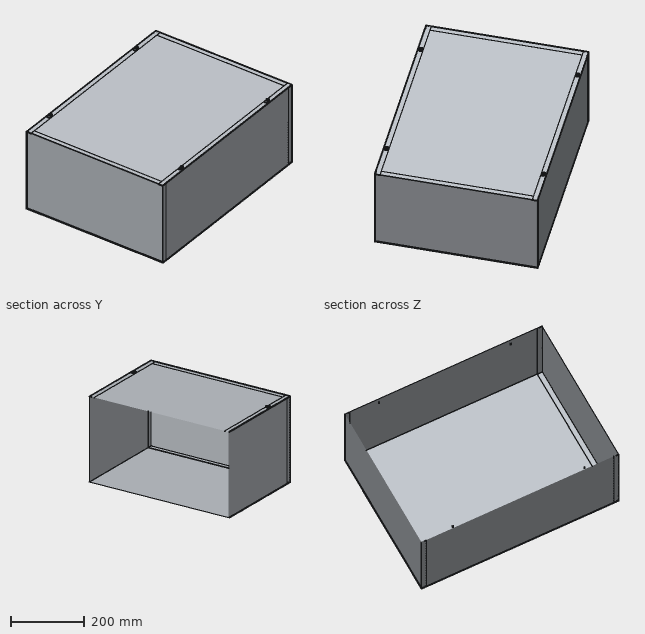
import cadquery as cq

clear_width = 457.0
length = 609.5
overall_height = 259.5
sheet = 1.6
flange_width = 16.0
bend_radius = 2.0

screw_x = 220.5
screw_y = 203.0
head_diameter = 10.0
head_top_diameter = 7.5
head_height = 3.3
drive_diameter = 3.7
drive_depth = 2.0
shank_diameter = 3.7
shank_length = 12.0

keyhole_entry_diameter = 10.5
keyhole_slot_width = 4.15
keyhole_travel = 7.5

wrap_width = clear_width + 2 * sheet
cover_top = overall_height - head_height
wrap_height = cover_top - sheet
head_rounding = (head_diameter - head_top_diameter) / 2

screw_points = [(x, y) for x in (-screw_x, screw_x) for y in (-screw_y, screw_y)]


def block(width, depth, height, bottom=0.0):
    """Box centred on X and Y, standing at the given height."""
    return cq.Workplane("XY", origin=(0, 0, bottom)).box(width, depth, height, centered=(True, True, False))


def make_wrap():
    """Floor and two side walls folded from one sheet, with flanges turned in at the top."""
    shell = block(wrap_width, length, wrap_height)
    interior = block(clear_width, length, wrap_height - 2 * sheet, sheet)
    opening = block(wrap_width - 2 * flange_width, length, wrap_height - sheet, sheet)
    screw_holes = (
        cq.Workplane("XY", origin=(0, 0, wrap_height - sheet))
        .pushPoints(screw_points)
        .circle(shank_diameter / 2)
        .extrude(sheet)
    )
    return shell.cut(interior).cut(opening).cut(screw_holes)


def make_end_panel(side):
    """Tray closing the -Y (side -1) or +Y (side 1) end, with a bent rim turned inwards all round."""
    height = wrap_height - sheet
    blank = block(clear_width, flange_width, height, sheet)
    blank = blank.faces("<Y").edges().fillet(bend_radius)

    cavity = block(clear_width - 2 * sheet, flange_width, height - 2 * sheet, 2 * sheet)
    cavity = cavity.faces("<Y").edges().fillet(bend_radius - sheet)
    tray = blank.cut(cavity.translate((0, sheet, 0)))

    notch_width = flange_width - sheet
    notch_x = (clear_width - notch_width) / 2
    for x in (-notch_x, notch_x):
        notch = block(notch_width, flange_width, sheet, wrap_height - sheet)
        tray = tray.cut(notch.translate((x, 0, 0)))
    panel = tray.translate((0, (flange_width - length) / 2, 0))
    return panel.mirror("XZ") if side > 0 else panel


def make_cover():
    """Flat cover with a keyhole at each screw; the wide entry lies on the -Y side."""
    cover = block(clear_width, length, sheet, wrap_height)
    plane = cq.Workplane("XY", origin=(0, 0, wrap_height))
    entry_points = [(x, y - keyhole_travel) for x, y in screw_points]
    slot_points = [(x, y - keyhole_travel / 2) for x, y in screw_points]
    entries = plane.pushPoints(entry_points).circle(keyhole_entry_diameter / 2).extrude(sheet)
    slot_length = keyhole_travel + keyhole_slot_width
    slots = plane.pushPoints(slot_points).slot2D(slot_length, keyhole_slot_width, 90).extrude(sheet)
    return cover.cut(entries).cut(slots)


def make_screw(x, y):
    """Screw with its head resting on the cover and its shank passing through the wrap flange."""
    head = cq.Workplane("XY").circle(head_diameter / 2).extrude(head_height)
    head = head.faces(">Z").edges().fillet(head_rounding)
    drive = cq.Workplane("XY", origin=(0, 0, head_height)).circle(drive_diameter / 2).extrude(-drive_depth)
    shank = cq.Workplane("XY").circle(shank_diameter / 2).extrude(-shank_length)
    return head.cut(drive).union(shank).translate((x, y, cover_top))


wrap = make_wrap()
end_panels = [make_end_panel(side) for side in (-1, 1)]
cover = make_cover()
screws = [make_screw(x, y) for x, y in screw_points]

result = cq.Compound.makeCompound(
    [
        wrap.val(),
        cover.val(),
        *[panel.val() for panel in end_panels],
        *[screw.val() for screw in screws],
    ]
)